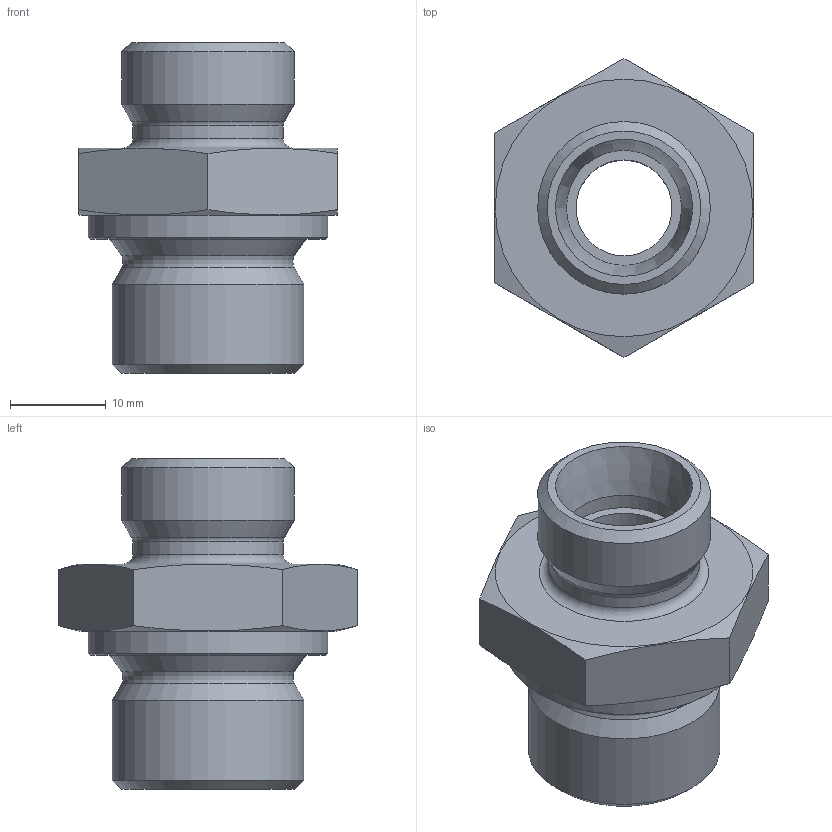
import cadquery as cq
import math

total_height = 34.5
thread_top = 9.3
waist_arc_bottom = 11.0
waist_arc_top = 12.27
collar_bottom = 14.0
hex_bottom = 16.5
hex_height = 7.0
hex_top = hex_bottom + hex_height
neck_cone_top = 28.06

thread_radius = 20.0 / 2
tube_end_radius = 18.0 / 2
neck_radius = 15.7 / 2
collar_radius = 25.0 / 2
waist_radius = 8.85
waist_arc_end_radius = 9.0
collar_undercut_radius = 10.2

end_chamfer_width = 1.0
end_chamfer_height = 0.95
collar_chamfer = 0.2
neck_fillet = 1.0
neck_blend_radius = 1.0
neck_cone_angle = 30.0

hex_across_flats = 27.0
hex_across_corners = hex_across_flats / math.cos(math.radians(30))
hex_face_radius = 13.43
hex_chamfer_angle = 15.0
hex_turn = 30.0

bore_radius = 10.0 / 2
socket_radius = 12.0 / 2
socket_depth = 7.0
mouth_radius = 14.3 / 2
mouth_half_angle = 12.0


def revolve_profile(profile):
    """Turn a closed half profile (radius, height) about the Z axis."""
    return profile.close().revolve(360, (0, 0, 0), (0, 1, 0))


def turned_body():
    """Threaded stud, sealing collar and tube end, without the hexagon."""
    waist_middle = (waist_arc_bottom + waist_arc_top) / 2
    fillet_mid_offset = neck_fillet * (1 - math.sqrt(0.5))

    cone_angle = math.radians(neck_cone_angle)
    blend_end_radius = neck_radius + neck_blend_radius * (1 - math.cos(cone_angle))
    blend_end = neck_cone_top - (tube_end_radius - blend_end_radius) / math.tan(cone_angle)
    blend_start = blend_end - neck_blend_radius * math.sin(cone_angle)
    blend_mid_radius = neck_radius + neck_blend_radius * (1 - math.cos(cone_angle / 2))
    blend_mid = blend_start + neck_blend_radius * math.sin(cone_angle / 2)

    profile = (
        cq.Workplane("XZ")
        .moveTo(0, 0)
        .lineTo(thread_radius - end_chamfer_width, 0)
        .lineTo(thread_radius, end_chamfer_height)
        .lineTo(thread_radius, thread_top)
        .lineTo(waist_arc_end_radius, waist_arc_bottom)
        .threePointArc((waist_radius, waist_middle), (waist_arc_end_radius, waist_arc_top))
        .lineTo(collar_undercut_radius, collar_bottom)
        .lineTo(collar_radius - collar_chamfer, collar_bottom)
        .lineTo(collar_radius, collar_bottom + collar_chamfer)
        .lineTo(collar_radius, hex_top)
        .lineTo(neck_radius + neck_fillet, hex_top)
        .threePointArc(
            (neck_radius + fillet_mid_offset, hex_top + fillet_mid_offset),
            (neck_radius, hex_top + neck_fillet),
        )
        .lineTo(neck_radius, blend_start)
        .threePointArc((blend_mid_radius, blend_mid), (blend_end_radius, blend_end))
        .lineTo(tube_end_radius, neck_cone_top)
        .lineTo(tube_end_radius, total_height - end_chamfer_height)
        .lineTo(tube_end_radius - end_chamfer_width, total_height)
        .lineTo(0, total_height)
    )
    return revolve_profile(profile)


def hexagon():
    """Hexagon with corners on the Y axis, its corners chamfered above and below."""
    prism = (
        cq.Workplane("XY", origin=(0, 0, hex_bottom))
        .polygon(6, hex_across_corners)
        .extrude(hex_height)
        .rotate((0, 0, 0), (0, 0, 1), hex_turn)
    )
    corner_radius = hex_across_corners / 2
    chamfer_drop = (corner_radius - hex_face_radius) * math.tan(math.radians(hex_chamfer_angle))
    envelope = (
        cq.Workplane("XZ")
        .moveTo(0, hex_bottom)
        .lineTo(hex_face_radius, hex_bottom)
        .lineTo(corner_radius, hex_bottom + chamfer_drop)
        .lineTo(corner_radius, hex_top - chamfer_drop)
        .lineTo(hex_face_radius, hex_top)
        .lineTo(0, hex_top)
    )
    return prism.intersect(revolve_profile(envelope))


def bore():
    """Through hole with a stepped tube socket and a conical mouth at the top."""
    mouth_depth = (mouth_radius - socket_radius) / math.tan(math.radians(mouth_half_angle))
    socket_floor = total_height - socket_depth
    profile = (
        cq.Workplane("XZ")
        .moveTo(0, 0)
        .lineTo(bore_radius, 0)
        .lineTo(bore_radius, socket_floor)
        .lineTo(socket_radius, socket_floor)
        .lineTo(socket_radius, total_height - mouth_depth)
        .lineTo(mouth_radius, total_height)
        .lineTo(0, total_height)
    )
    return revolve_profile(profile)


result = turned_body().union(hexagon()).cut(bore())